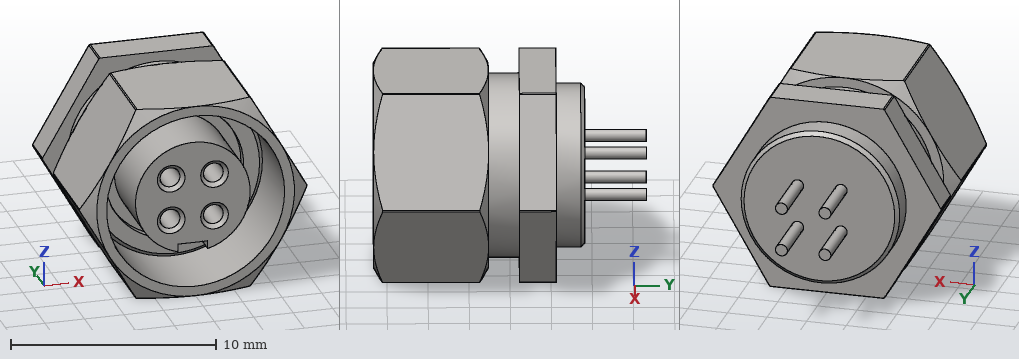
import cadquery as cq
import math

length = 13.3
across_flats = 10.0
across_corners = 11.5

nut_length = 5.6
neck_length = 1.5
flange_length = 1.8
rear_length = 1.4
neck_start = nut_length
flange_start = neck_start + neck_length
rear_start = flange_start + flange_length
rear_end = rear_start + rear_length
pin_length = length - rear_end

neck_diameter = 9.0
rear_diameter = 8.0
edge_chamfer = 0.2
body_front = 3.8
nut_chamfer_angle = 30.0

recess_diameter = 7.0
recess_depth = 0.5
insert_diameter = 5.8
insert_front = 0.5
key_width = 1.5
key_floor = 2.4
key_length = body_front - insert_front

contact_pitch = 2.2
socket_diameter = 1.0
socket_depth = 3.0
socket_chamfer = 0.2
pin_diameter = 0.6


def cylinder(diameter, start, end):
    """Round bar on the connector axis between two Y positions."""
    return cq.Workplane("XZ", origin=(0, start, 0)).circle(diameter / 2).extrude(start - end)


def hexagon(start, end):
    """Hexagonal bar with flats facing +Z and -Z and slightly rounded corners."""
    sharp_corners = across_flats / math.cos(math.radians(30))
    bar = cq.Workplane("XZ", origin=(0, start, 0)).polygon(6, sharp_corners).extrude(start - end)
    return bar.intersect(cylinder(across_corners, start, end))


def nut():
    """Coupling nut: hexagon with conical corner chamfers at both ends and a plain bore."""
    flat_radius = across_flats / 2
    corner_radius = across_corners / 2
    cone_length = (corner_radius - flat_radius) * math.tan(math.radians(nut_chamfer_angle))
    envelope = (
        cq.Workplane("XY")
        .moveTo(0, 0)
        .lineTo(flat_radius, 0)
        .lineTo(corner_radius, cone_length)
        .lineTo(corner_radius, nut_length - cone_length)
        .lineTo(flat_radius, nut_length)
        .lineTo(0, nut_length)
        .close()
        .revolve(360, (0, 0, 0), (0, 1, 0))
    )
    bore = cylinder(neck_diameter, 0, nut_length)
    return hexagon(0, nut_length).intersect(envelope).cut(bore)


def body():
    """Turned body with its hexagonal flange and the recess around the insert."""
    neck = cylinder(neck_diameter, body_front, flange_start).faces("<Y").chamfer(edge_chamfer)
    rear = cylinder(rear_diameter, rear_start, rear_end).faces(">Y").chamfer(edge_chamfer)
    recess = cylinder(recess_diameter, body_front, body_front + recess_depth)
    return neck.cut(recess).union(hexagon(flange_start, rear_start)).union(rear)


def insert():
    """Contact insert with a keyway along its underside."""
    keyway_height = insert_diameter / 2 - key_floor
    keyway = cq.Workplane("XY").box(key_width, key_length, keyway_height, centered=(True, False, False))
    keyway = keyway.translate((0, insert_front, -insert_diameter / 2))
    return cylinder(insert_diameter, insert_front, rear_start).cut(keyway)


def contact_points(y):
    """Workplane at a Y position, facing -Y, with the four contact centres selected."""
    return cq.Workplane("XZ", origin=(0, y, 0)).rarray(contact_pitch, contact_pitch, 2, 2)


def sockets():
    """Blind contact holes with a conical lead-in."""
    mouth_diameter = socket_diameter + 2 * socket_chamfer
    holes = contact_points(insert_front).circle(socket_diameter / 2).extrude(-socket_depth)
    for x in (-contact_pitch / 2, contact_pitch / 2):
        for z in (-contact_pitch / 2, contact_pitch / 2):
            lead_in = cq.Solid.makeCone(
                mouth_diameter / 2,
                socket_diameter / 2,
                socket_chamfer,
                cq.Vector(x, insert_front, z),
                cq.Vector(0, 1, 0),
            )
            holes = holes.union(cq.Workplane(lead_in))
    return holes


def pins():
    """Solder pins standing on the rear face."""
    return contact_points(rear_end).circle(pin_diameter / 2).extrude(-pin_length)


result = nut().union(body()).union(insert()).cut(sockets()).union(pins())